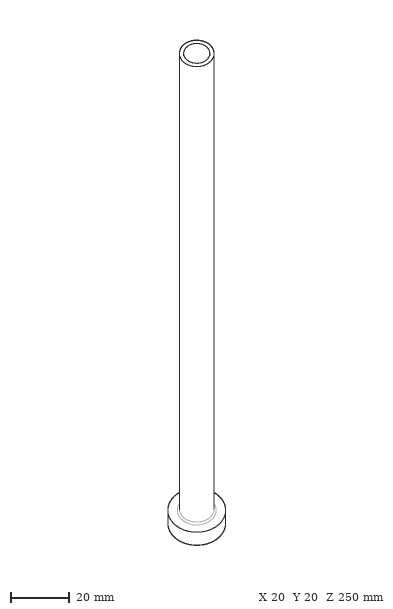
import cadquery as cq
import math

total_length = 250.0
head_diameter = 20.0
head_height = 7.0
tube_diameter = 12.0
bore_diameter = 9.0
fillet_radius = 0.7

head_radius = head_diameter / 2
tube_radius = tube_diameter / 2
fillet_start = tube_radius + fillet_radius
fillet_top = head_height + fillet_radius
fillet_middle = (
    fillet_start - fillet_radius * math.sin(math.pi / 4),
    fillet_top - fillet_radius * math.sin(math.pi / 4),
)

body = (
    cq.Workplane("XZ")
    .lineTo(head_radius, 0)
    .lineTo(head_radius, head_height)
    .lineTo(fillet_start, head_height)
    .threePointArc(fillet_middle, (tube_radius, fillet_top))
    .lineTo(tube_radius, total_length)
    .lineTo(0, total_length)
    .close()
    .revolve(360, (0, 0, 0), (0, 1, 0))
)

bore = cq.Workplane("XY").circle(bore_diameter / 2).extrude(total_length)

result = body.cut(bore)